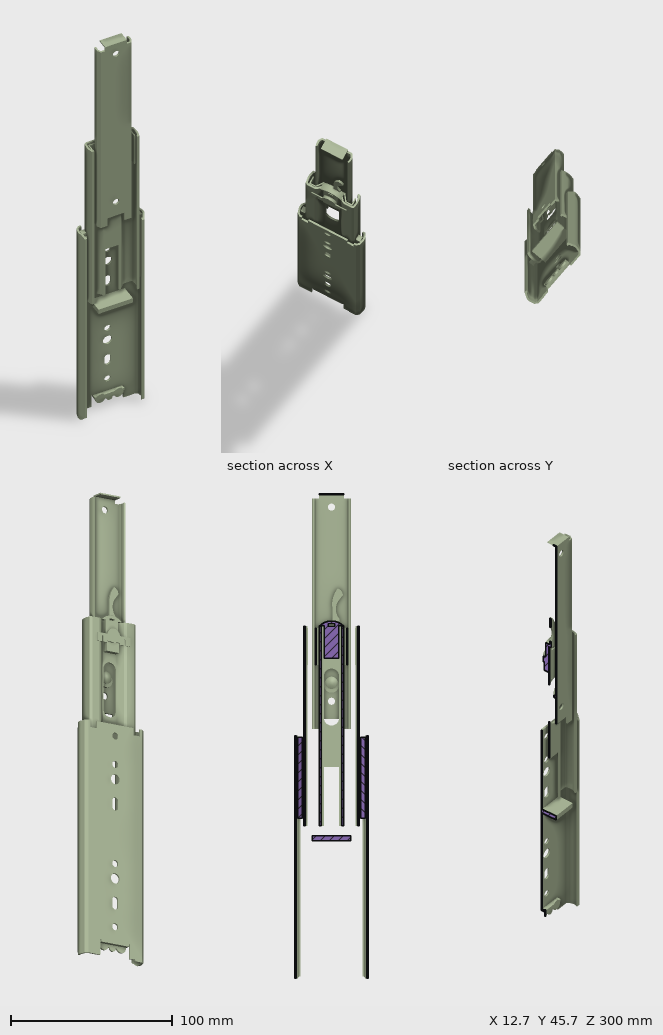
import cadquery as cq
import math


slide_depth = 12.7
slide_width = 45.7
slide_height = 300.0
sheet = 1.2

outer_top = 150.3
outer_lip_x = 10.7
outer_half = slide_width / 2
outer_web_half = 19.9

middle_bottom = 94.4
middle_top = 218.2
middle_web_x = 2.2
middle_lip_x = 12.2
middle_half = 17.6
recess_floor_x = 6.2
recess_half = 5.5

inner_bottom = 154.5
inner_top = 296.9
inner_lip_x = 6.2
inner_half = 12.1
inner_web_x = slide_depth - sheet


def box(x0, x1, y0, y1, z0, z1):
    """Box given by its limits along each axis."""
    return cq.Workplane("XY").box(x1 - x0, y1 - y0, z1 - z0, centered=False).translate((x0, y0, z0))


def cylinder_x(radius, x0, x1, y, z):
    """Round bar along X."""
    return cq.Workplane("YZ", origin=(x0, 0, 0)).center(y, z).circle(radius).extrude(x1 - x0)


def slot_x(width, length, x0, x1, z):
    """Round-ended bar along X, long along Z and centred on Y = 0."""
    return cq.Workplane("YZ", origin=(x0, 0, 0)).center(0, z).slot2D(length, width, 90).extrude(x1 - x0)


def offset_path(path, distance):
    """Shift an open path sideways by a distance, with mitred corners."""
    normals = []
    for (xa, ya), (xb, yb) in zip(path, path[1:]):
        length = math.hypot(xb - xa, yb - ya)
        normals.append((-(yb - ya) / length, (xb - xa) / length))
    shifted = []
    for i, (x, y) in enumerate(path):
        nx0, ny0 = normals[max(i - 1, 0)]
        nx1, ny1 = normals[min(i, len(normals) - 1)]
        stretch = distance / (1 + nx0 * nx1 + ny0 * ny1)
        shifted.append((x + (nx0 + nx1) * stretch, y + (ny0 + ny1) * stretch))
    return shifted


def trace(sketch, points, arc_mids, first=0):
    """Continue an outline through points; arc_mids lists the indices of arc middle points."""
    i = first
    while i < len(points):
        if i in arc_mids:
            sketch = sketch.threePointArc(points[i], points[i + 1])
            i += 2
        else:
            sketch = sketch.lineTo(*points[i])
            i += 1
    return sketch


def bent_sheet(half_path, thickness, z0, z1, arc_mid=None):
    """Symmetric folded strip; half_path is its face on the +Y side, thickened by a signed distance.

    arc_mid is the index of the half_path point that is the middle of a round bend.
    """
    mirrored = [(x, -y) for x, y in reversed(half_path)]
    face = mirrored + half_path
    back = offset_path(face, thickness)[::-1]
    arc_mids = []
    if arc_mid is not None:
        arc_mids = [len(half_path) - 1 - arc_mid, len(half_path) + arc_mid]
    sketch = cq.Workplane("XY", origin=(0, 0, z0)).moveTo(*face[0])
    sketch = trace(sketch, face, arc_mids, first=1)
    sketch = trace(sketch, back, arc_mids)
    return sketch.close().extrude(z1 - z0)


round_hole = 4.4
large_hole = 6.4
mount_slot_length = 8.2
mount_pitch = 64.0
lower_mount_z = 60.6
large_hole_drop = 9.6
mount_slot_drop = 25.5
bottom_hole_z = 19.8
top_hole_z = 142.9
lip_chamfer = 2.6
corner_notch_from = 13.7
corner_notch_to = 18.3
corner_notch_depth = 4.6
end_notch_half = 11.1
end_notch_height = 10.2
stop_tab_thickness = 1.6
foot_step_width = 4.0
foot_step_height = 1.0
stop_post_half = 12.0
stop_post_bottom = 85.0
stop_post_top = 88.4
stop_tab_half = 10.3
stop_tab_reach = 4.0
side_lobe_radius = 3.4
middle_lobe_radius = 2.2
lobe_spacing = 6.4
lobe_bottom = 4.6


def make_outer_rail():
    half_face = [
        (0, outer_web_half),
        (1.6, 21.9),
        (4.2, 22.6),
        (6.0, outer_half),
        (8.0, 22.3),
        (outer_lip_x, 20.8),
        (outer_lip_x, 19.2),
    ]
    rail = bent_sheet(half_face, -sheet, 0, outer_top, arc_mid=3)

    for lip_z in (0, outer_top):
        rail = rail.cut(
            cq.Workplane("XZ")
            .center(outer_lip_x, lip_z)
            .polyline([(-lip_chamfer, 0), (0, lip_chamfer), (0, -lip_chamfer)])
            .close()
            .extrude(outer_half, both=True)
        )

    for side in (-1, 1):
        y0, y1 = sorted((side * corner_notch_from, side * corner_notch_to))
        rail = rail.cut(box(0, sheet, y0, y1, outer_top - corner_notch_depth, outer_top))

    for hole_z in (bottom_hole_z, top_hole_z):
        rail = rail.cut(cylinder_x(round_hole / 2, 0, sheet, 0, hole_z))
    for group_z in (lower_mount_z, lower_mount_z + mount_pitch):
        rail = rail.cut(cylinder_x(round_hole / 2, 0, sheet, 0, group_z))
        rail = rail.cut(cylinder_x(large_hole / 2, 0, sheet, 0, group_z - large_hole_drop))
        rail = rail.cut(slot_x(round_hole, mount_slot_length, 0, sheet, group_z - mount_slot_drop))

    rail = rail.cut(box(0, sheet, -end_notch_half, end_notch_half, 0, end_notch_height))
    rail = rail.cut(
        box(0, sheet, -end_notch_half - foot_step_width, -end_notch_half, 0, foot_step_height)
    )

    tab_bottom = end_notch_height - stop_tab_thickness
    rail = rail.union(
        box(0, stop_tab_reach, -stop_tab_half, stop_tab_half, tab_bottom, end_notch_height)
    )
    lobe_x = stop_tab_reach - sheet
    for lobe_y in (-lobe_spacing, 0, lobe_spacing):
        radius = side_lobe_radius if lobe_y else middle_lobe_radius
        rail = rail.union(cylinder_x(radius, lobe_x, stop_tab_reach, lobe_y, lobe_bottom + radius))
    lobe_web_z = lobe_bottom + middle_lobe_radius
    rail = rail.union(
        box(lobe_x, stop_tab_reach, -lobe_spacing, lobe_spacing, lobe_web_z, tab_bottom)
    )

    return rail.union(
        box(0, middle_lip_x, -stop_post_half, stop_post_half, stop_post_bottom, stop_post_top)
    )


guide_slot_width = 9.4
guide_slot_bottom = 156.6
guide_slot_top = 191.8
open_slot_top = 131.0


def make_middle_rail():
    half_face = [
        (recess_floor_x, recess_half),
        (2.9, 8.6),
        (middle_web_x, 10.3),
        (middle_web_x, 15.5),
        (3.0, 17.1),
        (5.2, 17.4),
        (7.6, middle_half),
        (middle_lip_x, 16.5),
        (middle_lip_x, 15.0),
    ]
    rail = bent_sheet(half_face, -sheet, middle_bottom, middle_top, arc_mid=6)
    slot_end_x = recess_floor_x + sheet
    slot_length = guide_slot_top - guide_slot_bottom
    slot_z = (guide_slot_top + guide_slot_bottom) / 2
    rail = rail.cut(slot_x(guide_slot_width, slot_length, recess_floor_x, slot_end_x, slot_z))
    half = guide_slot_width / 2
    return rail.cut(box(recess_floor_x, slot_end_x, -half, half, middle_bottom, open_slot_top))


end_tab_x = 5.3
end_tab_half = 7.6
end_tab_sheet = 0.9
top_screw_z = 291.7
low_screw_z = 171.6
inner_notch_half = 6.0
inner_notch_top = 160.6
pin_z = 183.0
pin_radius = 3.8
pin_tip_x = 8.0
pin_dome = 1.6
collar_radius = 4.6
collar_z = 181.5
collar_height = 1.5


def make_inner_rail():
    half_face = [
        (slide_depth, 10.6),
        (10.2, inner_half),
        (7.5, inner_half),
        (inner_lip_x, 11.7),
    ]
    rail = bent_sheet(half_face, sheet, inner_bottom, inner_top)
    rail = rail.cut(
        box(inner_web_x, slide_depth, -inner_notch_half, inner_notch_half, inner_bottom, inner_notch_top)
    )
    for screw_z in (low_screw_z, top_screw_z):
        rail = rail.cut(cylinder_x(round_hole / 2, inner_web_x, slide_depth, 0, screw_z))

    rail = rail.union(
        box(inner_web_x, slide_depth, -end_tab_half, end_tab_half, inner_top, slide_height)
    )
    rail = rail.union(
        box(end_tab_x, slide_depth, -end_tab_half, end_tab_half, slide_height - end_tab_sheet, slide_height)
    )

    rail = rail.union(
        cylinder_x(collar_radius, inner_web_x - collar_height, inner_web_x, 0, collar_z)
    )
    pin = (
        cq.Workplane("XY", origin=(0, 0, pin_z))
        .moveTo(pin_tip_x, 0)
        .threePointArc((pin_tip_x + pin_dome / 4, pin_radius / 2), (pin_tip_x + pin_dome, pin_radius))
        .lineTo(inner_web_x, pin_radius)
        .lineTo(inner_web_x, 0)
        .close()
        .revolve(360, (0, 0), (1, 0))
    )
    return rail.union(pin)


side_retainer_bottom = 99.0
side_retainer_top = 149.5
side_retainer_x0 = 3.6
side_retainer_x1 = 7.2
side_retainer_width = 3.0
race_clearance = 0.3


def make_side_retainer(side):
    """Ball strip between the outer and middle rail flanges; side is +1 or -1 along Y."""
    inner_y = side * (middle_half + race_clearance)
    y0, y1 = sorted((inner_y, inner_y + side * side_retainer_width))
    return box(side_retainer_x0, side_retainer_x1, y0, y1, side_retainer_bottom, side_retainer_top)


cage_sheet = 0.8
cage_bottom = 194.0
cage_top = 217.0


def make_inner_cage():
    """U-shaped ball cage between the middle and inner rails."""
    half_face = [
        (8.2, 7.2),
        (3.9, 10.4),
        (3.9, 15.2),
        (9.2, 15.2),
    ]
    return bent_sheet(half_face, -cage_sheet, cage_bottom, cage_top)


clip_x0 = 3.6
clip_front_x = 1.6
clip_half = 4.6
clip_bottom = 197.9
clip_arch_top = 212.7
ledge_x = 2.6
ledge_z = 204.1
arm_half = 12.3
arm_bottom = 203.0
arm_top = 208.6
arm_groove_y = 8.4
arm_groove_half = 0.5
arm_groove_top = 206.8
head_half = 7.4
head_height = 3.2
head_notch_half = 1.8
head_notch_height = 1.3
finger_x0 = 7.0
finger_x1 = 8.4
finger_root_z = middle_top + 1.0
finger_straight_y = -0.5
finger_straight_top = 229.5
finger_foot_y = -5.0
finger_foot_top = 222.5
finger_neck = (-4.2, 233.6)
finger_tip = (-3.8, 241.4)
finger_tip_side = (-7.0, 237.2)


def make_release_lever():
    lever = box(clip_x0, recess_floor_x, -clip_half, clip_half, clip_bottom, middle_top)

    arch_z = clip_arch_top - clip_half
    lever = lever.union(box(clip_front_x, clip_x0, -clip_half, clip_half, ledge_z, arch_z))
    lever = lever.union(cylinder_x(clip_half, clip_front_x, clip_x0, 0, arch_z))
    lever = lever.union(box(ledge_x, clip_x0, -clip_half, clip_half, clip_bottom, ledge_z))

    for side in (-1, 1):
        y0, y1 = sorted((side * clip_half, side * arm_half))
        arm = box(clip_front_x, middle_web_x, y0, y1, arm_bottom, arm_top)
        groove_y = side * arm_groove_y
        groove = box(
            clip_front_x,
            middle_web_x,
            groove_y - arm_groove_half,
            groove_y + arm_groove_half,
            arm_bottom,
            arm_groove_top,
        )
        lever = lever.union(arm.cut(groove))

    head = (
        cq.Workplane("YZ", origin=(clip_x0, 0, 0))
        .moveTo(-head_half, middle_top)
        .threePointArc((0, middle_top + head_height), (head_half, middle_top))
        .close()
        .extrude(finger_x1 - clip_x0)
    )
    head = head.cut(
        box(
            clip_x0,
            recess_floor_x,
            -head_notch_half,
            head_notch_half,
            middle_top,
            middle_top + head_notch_height,
        )
    )

    finger = (
        cq.Workplane("YZ", origin=(finger_x0, 0, 0))
        .moveTo(finger_straight_y, finger_root_z)
        .lineTo(finger_straight_y, finger_straight_top)
        .threePointArc((-1.2, 236.5), finger_tip)
        .threePointArc((-6.3, 239.6), finger_tip_side)
        .lineTo(*finger_neck)
        .threePointArc((-2.7, 228.5), (finger_foot_y, finger_foot_top))
        .lineTo(finger_foot_y, finger_root_z)
        .close()
        .extrude(finger_x1 - finger_x0)
    )
    return lever.union(head).union(finger)


outer_rail = make_outer_rail()
middle_rail = make_middle_rail()
inner_rail = make_inner_rail()
side_retainers = [make_side_retainer(side) for side in (-1, 1)]
inner_cage = make_inner_cage()
release_lever = make_release_lever()

result = cq.Compound.makeCompound(
    [
        outer_rail.val(),
        middle_rail.val(),
        inner_rail.val(),
        *[retainer.val() for retainer in side_retainers],
        inner_cage.val(),
        release_lever.val(),
    ]
)